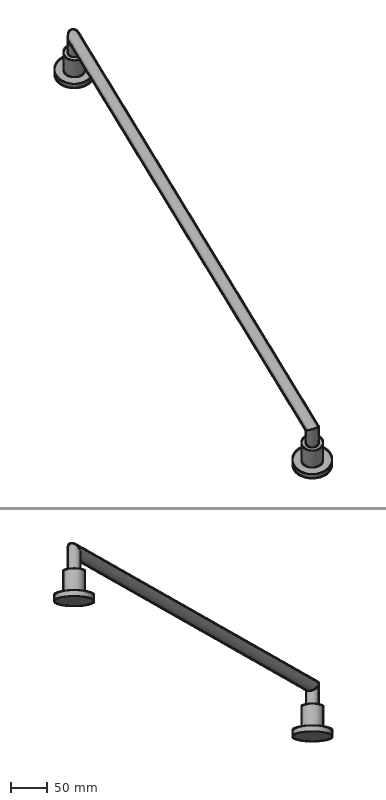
import cadquery as cq

overall_length = 855.0
overall_height = 80.0

flange_diameter = 55.0
flange_thickness = 8.5
post_diameter = 30.0
base_height = 43.0

rail_diameter = 18.0

leg_offset = (overall_length - flange_diameter) / 2
rail_axis_height = overall_height - rail_diameter / 2


def make_base(x_position):
    """Round wall flange with a thicker post standing on it."""
    flange = cq.Workplane("XY").circle(flange_diameter / 2).extrude(flange_thickness)
    post = cq.Workplane("XY").circle(post_diameter / 2).extrude(base_height)
    return flange.union(post).translate((x_position, 0, 0))


def make_rail():
    """Round bar with a mitred leg at each end, standing on the post tops."""
    centre_line = cq.Workplane("XZ").polyline([
        (-leg_offset, base_height),
        (-leg_offset, rail_axis_height),
        (leg_offset, rail_axis_height),
        (leg_offset, base_height),
    ])
    profile = cq.Workplane("XY", origin=(-leg_offset, 0, base_height)).circle(rail_diameter / 2)
    return profile.sweep(centre_line, transition="right")


bases = [make_base(x_position) for x_position in (-leg_offset, leg_offset)]
rail = make_rail()

result = cq.Compound.makeCompound([rail.val(), *[base.val() for base in bases]])